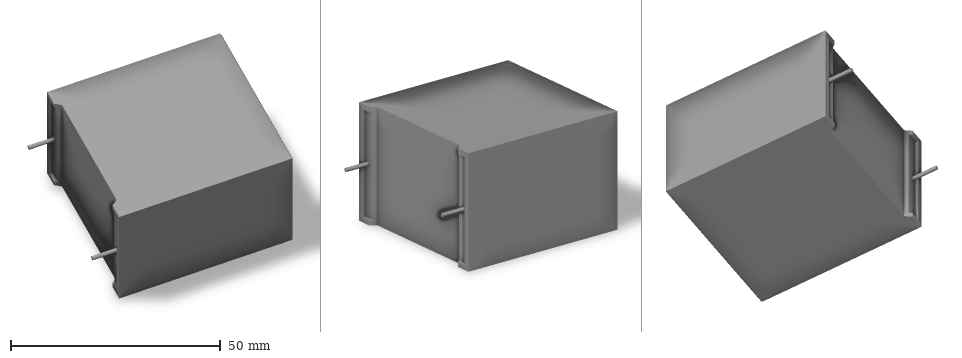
import cadquery as cq


total_length = 51.3
lead_length = 6.0
housing_width = 42.5
housing_depth = total_length - lead_length
housing_thickness = 30.3
back_fillet = 0.4

relief_depth = 1.6
relief_floor_width = 32.2
relief_mouth_width = 34.45

recess_depth = 0.75
side_wall = 1.55
face_wall = 1.45

lead_diameter = 1.05
lead_pitch = 37.5


def make_block():
    """Box whose back face has rounded edges."""
    block = cq.Workplane("XY").box(
        housing_width, housing_depth, housing_thickness, centered=(True, False, True)
    )
    return block.faces(">Y").edges().fillet(back_fillet)


def make_relief():
    """Trapezoidal prism that leaves a foot standing at each end."""
    return (
        cq.Workplane("XY")
        .workplane(offset=-housing_thickness / 2)
        .moveTo(-relief_mouth_width / 2, 0)
        .lineTo(-relief_floor_width / 2, relief_depth)
        .lineTo(relief_floor_width / 2, relief_depth)
        .lineTo(relief_mouth_width / 2, 0)
        .close()
        .extrude(housing_thickness)
    )


def make_recesses():
    """Shallow slab whose two ends sink into the feet; its middle lies inside the relief."""
    return cq.Workplane("XY").box(
        housing_width - 2 * side_wall,
        recess_depth,
        housing_thickness - 2 * face_wall,
        centered=(True, False, True),
    )


def make_lead(x):
    """Round lead that stands on the floor of one recess."""
    return (
        cq.Workplane("XZ", origin=(x, recess_depth, 0))
        .circle(lead_diameter / 2)
        .extrude(recess_depth + lead_length)
    )


housing = make_block().cut(make_relief()).cut(make_recesses())

leads = []
for side in (-1, 1):
    leads.append(make_lead(side * lead_pitch / 2).val())

result = cq.Compound.makeCompound([housing.val(), *leads])